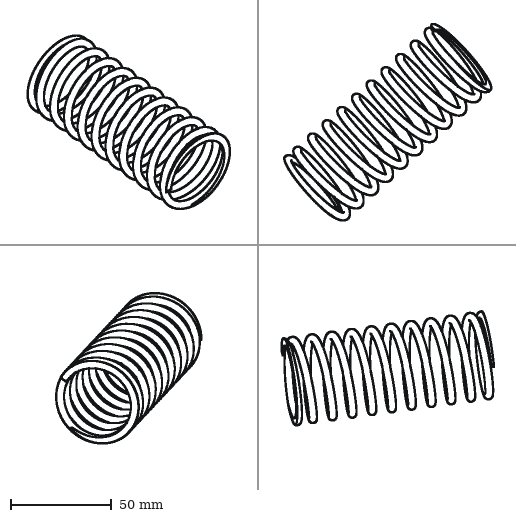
import cadquery as cq
import math

length = 100.0
outer_diameter = 44.0
wire_diameter = 4.0
pitch = 10.0
start_angle = 30.0
end_angle = 180.0
full_turns = 11
end_pitch = 3.0
end_turns = 0.4
grind_depth = 0.9

samples_per_turn = 24

coil_radius = (outer_diameter - wire_diameter) / 2
turns = full_turns + (end_angle - start_angle) / 360
pitch_rise = pitch - end_pitch
wire_travel = length + 2 * grind_depth
ramp_turns = (pitch * turns - 2 * end_turns * pitch_rise - wire_travel) / pitch_rise


def advance_from_end(turn):
    """Axial distance of the wire centre from the nearer ground face, up to mid-length."""
    ramp = min(max(turn - end_turns, 0), ramp_turns)
    full = max(turn - end_turns - ramp_turns, 0)
    ramp_gain = pitch_rise * ramp**2 / (2 * ramp_turns)
    return end_pitch * turn + ramp_gain + pitch_rise * full - grind_depth


def wire_centre(turn):
    """Centre of the wire after the given number of turns."""
    if turn <= turns / 2:
        x = advance_from_end(turn)
    else:
        x = length - advance_from_end(turns - turn)
    angle = math.radians(start_angle) + 2 * math.pi * turn
    return (x, coil_radius * math.cos(angle), coil_radius * math.sin(angle))


def coil():
    """Round wire swept along the variable-pitch coil."""
    steps = round(turns * samples_per_turn)
    centres = [cq.Vector(*wire_centre(turns * i / steps)) for i in range(steps + 1)]
    path = cq.Workplane(cq.Edge.makeSpline(centres))
    section_plane = cq.Plane(
        origin=centres[0].toTuple(),
        xDir=(1, 0, 0),
        normal=(0, -centres[0].z, centres[0].y),
    )
    section = cq.Workplane(section_plane).circle(wire_diameter / 2)
    return section.sweep(path, isFrenet=True)


def ground_envelope():
    """Space between the two flat ground ends."""
    side = 2 * outer_diameter
    return cq.Workplane("XY").box(length, side, side).translate((length / 2, 0, 0))


result = coil().intersect(ground_envelope())